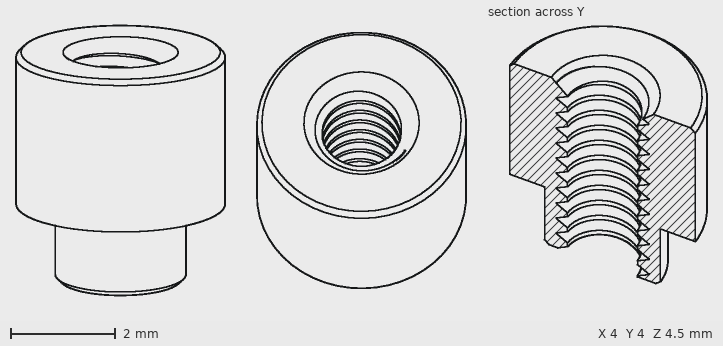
import cadquery as cq
import math

total_height = 4.5
head_diameter = 4.0
shank_diameter = 2.5
shank_length = 1.5
edge_chamfer = 0.1

countersink_diameter = 2.2
thread_major_radius = 1.0
thread_minor_radius = 0.75
thread_pitch = 0.4
thread_half_angle = math.radians(30)
thread_start_depth = 0.112
groove_overlap = 0.015

bore_seam_angle = 180


def make_body():
    """Round head on a smaller shank, with chamfered outer ends."""
    shank = cq.Workplane("XY").circle(shank_diameter / 2).extrude(shank_length)
    shank = shank.faces("<Z").edges().chamfer(edge_chamfer)
    head = (
        cq.Workplane("XY", origin=(0, 0, shank_length))
        .circle(head_diameter / 2)
        .extrude(total_height - shank_length)
        .faces(">Z").edges().chamfer(edge_chamfer)
    )
    return shank.union(head)


def make_bore():
    """Core hole at the thread's minor radius, opening into the countersink."""
    countersink_radius = countersink_diameter / 2
    countersink_depth = countersink_radius - thread_minor_radius
    return (
        cq.Workplane("XZ")
        .lineTo(thread_minor_radius, 0)
        .lineTo(thread_minor_radius, total_height - countersink_depth)
        .lineTo(countersink_radius, total_height)
        .lineTo(0, total_height)
        .close()
        .revolve(360, (0, 0, 0), (0, 1, 0))
        .rotate((0, 0, 0), (0, 0, 1), bore_seam_angle)
    )


def make_thread_groove():
    """Right-hand V groove that fades out in the countersink and runs out of the bottom face."""
    start_above_bottom = total_height - thread_start_depth
    turns = math.ceil(start_above_bottom / thread_pitch) + 1
    base_z = start_above_bottom - turns * thread_pitch
    inner_radius = thread_minor_radius - groove_overlap
    half_width = (thread_major_radius - inner_radius) * math.tan(thread_half_angle)

    helix = cq.Wire.makeHelix(
        thread_pitch, turns * thread_pitch, thread_major_radius, cq.Vector(0, 0, base_z)
    )
    return (
        cq.Workplane("XZ", origin=(0, 0, base_z))
        .moveTo(thread_major_radius, 0)
        .lineTo(inner_radius, half_width)
        .lineTo(inner_radius, -half_width)
        .close()
        .sweep(cq.Workplane(obj=helix), isFrenet=True)
    )


result = make_body().cut(make_bore()).cut(make_thread_groove())